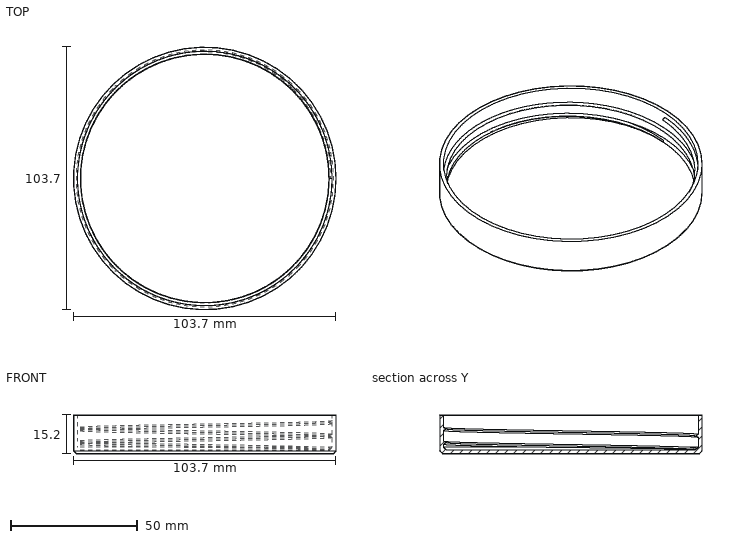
import cadquery as cq

outer_diameter = 103.7
height = 15.2
bore_diameter = 100.5
floor_thickness = 1.6
bottom_chamfer = 1.0
floor_corner = 1.0

crest_diameter = 98.0
pitch = 5.4
turns = 2
ridge_base_height = 1.2
ridge_top_gap = 2.2
root_overlap = 0.3

bore_radius = bore_diameter / 2
crest_radius = crest_diameter / 2


def make_cup():
    body = cq.Workplane("XY").circle(outer_diameter / 2).extrude(height)
    body = body.faces("<Z").edges().chamfer(bottom_chamfer)
    cavity = (
        cq.Workplane("XY")
        .workplane(offset=floor_thickness)
        .circle(bore_radius)
        .extrude(height - floor_thickness)
    )
    cavity = cavity.faces("<Z").edges().chamfer(floor_corner)
    return body.cut(cavity)


def make_thread():
    length = pitch * turns
    start_z = height - ridge_top_gap - ridge_base_height / 2 - length
    root_radius = bore_radius + root_overlap
    ridge_depth = bore_radius - crest_radius
    half_root = ridge_base_height / 2 * (root_radius - crest_radius) / ridge_depth
    path = cq.Wire.makeHelix(pitch, length, bore_radius, cq.Vector(0, 0, start_z))
    section = (
        cq.Workplane("XZ")
        .moveTo(crest_radius, start_z)
        .lineTo(root_radius, start_z + half_root)
        .lineTo(root_radius, start_z - half_root)
        .close()
    )
    return section.sweep(cq.Workplane(obj=path), isFrenet=True)


result = make_cup().union(make_thread())